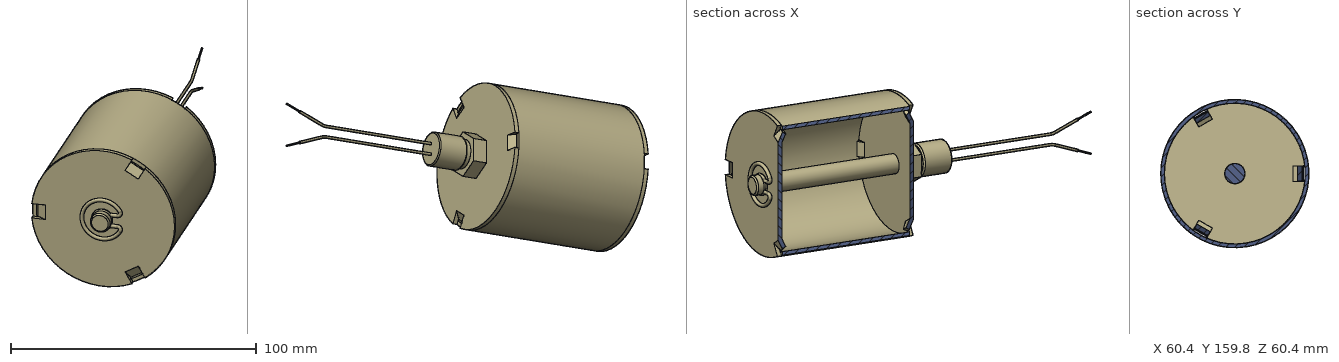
import cadquery as cq
import math


overall_length = 159.8

housing_length = 63.9
housing_radius = 30.2
tube_wall = 1.6
cap_thickness = 1.9

tab_angles = (60, 180, 300)
tab_width = 6.4
tab_bend = 30
tab_root_radius = 24.3
tab_length = 4.2

rod_radius = 4.2
rod_overhang = 4.8
rod_chamfer = 0.6

clip_wire = 1.6
clip_ring_radius = 8.6
clip_grip_radius = 3.8
clip_arm_offset = 2.4
clip_bend_radius = 1.3

hex_across_flats = 16.3
hex_height = 6.2
neck_radius = 6.0
neck_length = 1.9
head_radius = 7.0
head_length = 13.4
head_tip_chamfer = 0.5
head_base_chamfer = 0.6

lead_offset = 2.2
lead_shift = 0.2
lead_diameter = 1.1
bare_diameter = 0.6
lead_bend_start = 135.5
lead_bend_radius = 6.4
lead_bend = 20
lead_roll = 5
bare_length = 6.7

tube_bore_radius = housing_radius - tube_wall
groove_radius = clip_grip_radius - clip_wire / 2
lead_reach = overall_length - rod_overhang
neck_start = housing_length + hex_height
head_start = neck_start + neck_length
fitting_end = head_start + head_length

AXIS_START = (0, 0, 0)
AXIS_END = (0, 1, 0)


def cylinder(radius, start, length):
    """Cylinder on the Y axis from y = start toward +Y."""
    return cq.Workplane("XZ", origin=(0, start, 0)).circle(radius).extrude(-length)


def make_tube():
    length = housing_length - 2 * cap_thickness
    outside = cylinder(housing_radius, cap_thickness, length)
    return outside.cut(cylinder(tube_bore_radius, cap_thickness, length))


def make_tab():
    """One tab pointing along +X, with its side profile in the XY plane."""
    slope = math.radians(tab_bend)
    along = (tab_length * math.cos(slope), tab_length * math.sin(slope))
    through = (-cap_thickness * math.sin(slope), cap_thickness * math.cos(slope))
    tip = (tab_root_radius + along[0], along[1])
    profile = [
        (tab_root_radius, 0),
        tip,
        (tip[0] + through[0], tip[1] + through[1]),
        (tab_root_radius + through[0], through[1]),
        (tab_root_radius + through[0], 0),
    ]
    return cq.Workplane("XY").polyline(profile).close().extrude(tab_width / 2, both=True)


def make_cap():
    """Disc with its outer face at y = 0 and tabs bent toward +Y."""
    cap = cylinder(housing_radius, 0, cap_thickness)
    notch_depth = housing_radius - tab_root_radius
    notch = (
        cq.Workplane("XY")
        .box(notch_depth, cap_thickness, tab_width, centered=(False, False, True))
        .translate((tab_root_radius, 0, 0))
    )
    tab = make_tab()
    for angle in tab_angles:
        cap = cap.cut(notch.rotate(AXIS_START, AXIS_END, angle))
        cap = cap.union(tab.rotate(AXIS_START, AXIS_END, angle))
    return cap


def make_front_cap():
    return make_cap().cut(cylinder(rod_radius, 0, cap_thickness))


def make_rear_cap():
    return make_cap().mirror("XZ").translate((0, housing_length, 0))


def make_rod():
    """Rod from in front of the front cap back to the rear cap, with a groove for the clip."""
    rod_length = rod_overhang + housing_length - cap_thickness
    rod = cylinder(rod_radius, -rod_overhang, rod_length).faces("<Y").chamfer(rod_chamfer)
    groove = cylinder(rod_radius, -clip_wire, clip_wire)
    groove = groove.cut(cylinder(groove_radius, -clip_wire, clip_wire))
    return rod.cut(groove)


def make_clip():
    """Closed loop of round wire: an open ring whose ends turn inward and grip the rod."""
    bend_height = clip_arm_offset + clip_bend_radius
    outer_span = clip_ring_radius - clip_bend_radius
    inner_span = clip_grip_radius + clip_bend_radius
    outer_angle = math.asin(bend_height / outer_span)
    inner_angle = math.asin(bend_height / inner_span)
    outer_x = outer_span * math.cos(outer_angle)
    inner_x = inner_span * math.cos(inner_angle)

    def polar(radius, angle):
        return (radius * math.cos(angle), radius * math.sin(angle))

    def on_bend(x, angle):
        return (
            x + clip_bend_radius * math.cos(angle),
            bend_height + clip_bend_radius * math.sin(angle),
        )

    def below(point):
        return (point[0], -point[1])

    ring_back = (-clip_ring_radius, 0)
    grip_back = (-clip_grip_radius, 0)
    ring_mid = polar(clip_ring_radius, (math.pi + outer_angle) / 2)
    ring_end = polar(clip_ring_radius, outer_angle)
    grip_end = polar(clip_grip_radius, inner_angle)
    outer_mid = on_bend(outer_x, outer_angle / 2 - math.pi / 4)
    inner_mid = on_bend(inner_x, inner_angle / 2 - 3 * math.pi / 4)
    arm_outer = (outer_x, clip_arm_offset)
    arm_inner = (inner_x, clip_arm_offset)

    path = (
        cq.Workplane("XZ", origin=(0, -clip_wire / 2, 0))
        .moveTo(*ring_back)
        .threePointArc(ring_mid, ring_end)
        .threePointArc(outer_mid, arm_outer)
        .lineTo(*arm_inner)
        .threePointArc(inner_mid, grip_end)
        .threePointArc(grip_back, below(grip_end))
        .threePointArc(below(inner_mid), below(arm_inner))
        .lineTo(*below(arm_outer))
        .threePointArc(below(outer_mid), below(ring_end))
        .threePointArc(below(ring_mid), ring_back)
        .close()
    )
    section = cq.Workplane("XY", origin=(-clip_ring_radius, -clip_wire / 2, 0)).circle(clip_wire / 2)
    return section.sweep(path)


def make_fitting():
    """Hexagon against the rear cap, then a neck and a chamfered cylindrical head."""
    hex_diameter = hex_across_flats / math.cos(math.pi / 6)
    hexagon = (
        cq.Workplane("XZ", origin=(0, housing_length, 0))
        .transformed(rotate=(0, 0, 90))
        .polygon(6, hex_diameter)
        .extrude(-hex_height)
    )
    neck = cylinder(neck_radius, neck_start, neck_length)
    head = (
        cylinder(head_radius, head_start, head_length)
        .faces(">Y").chamfer(head_tip_chamfer)
        .faces("<Y").chamfer(head_base_chamfer)
    )
    return hexagon.union(neck).union(head)


def make_lead(side):
    """Insulated lead with a bare end; side is +1 above and -1 below the Y axis."""
    bend = math.radians(lead_bend)

    def arc_point(angle):
        return (
            lead_bend_start + lead_bend_radius * math.sin(angle),
            lead_bend_radius * (1 - math.cos(angle)),
        )

    def beyond_bend(distance):
        end = arc_point(bend)
        return (end[0] + distance * math.cos(bend), end[1] + distance * math.sin(bend))

    tip_centre = lead_reach - bare_diameter / 2 * math.sin(bend)
    bent_length = (tip_centre - arc_point(bend)[0]) / math.cos(bend)
    insulated_end = beyond_bend(bent_length - bare_length)
    path = (
        cq.Workplane("YZ")
        .moveTo(fitting_end, 0)
        .lineTo(lead_bend_start, 0)
        .threePointArc(arc_point(bend / 2), arc_point(bend))
        .lineTo(*insulated_end)
    )
    insulation = cq.Workplane("XZ", origin=(0, fitting_end, 0)).circle(lead_diameter / 2).sweep(path)
    bare_end = cq.Workplane(
        cq.Solid.makeCylinder(
            bare_diameter / 2,
            bare_length,
            cq.Vector(0, *insulated_end),
            cq.Vector(0, math.cos(bend), math.sin(bend)),
        )
    )
    lead = insulation.union(bare_end).rotate(AXIS_START, AXIS_END, -lead_roll)
    lead = lead.translate((lead_shift, 0, lead_offset))
    return lead if side > 0 else lead.mirror("XY")


tube = make_tube()
front_cap = make_front_cap()
rear_cap = make_rear_cap()
rod = make_rod()
clip = make_clip()
fitting = make_fitting()
leads = [make_lead(side) for side in (1, -1)]

result = cq.Compound.makeCompound([
    tube.val(),
    front_cap.val(),
    rear_cap.val(),
    rod.val(),
    clip.val(),
    fitting.val(),
    *[lead.val() for lead in leads],
])